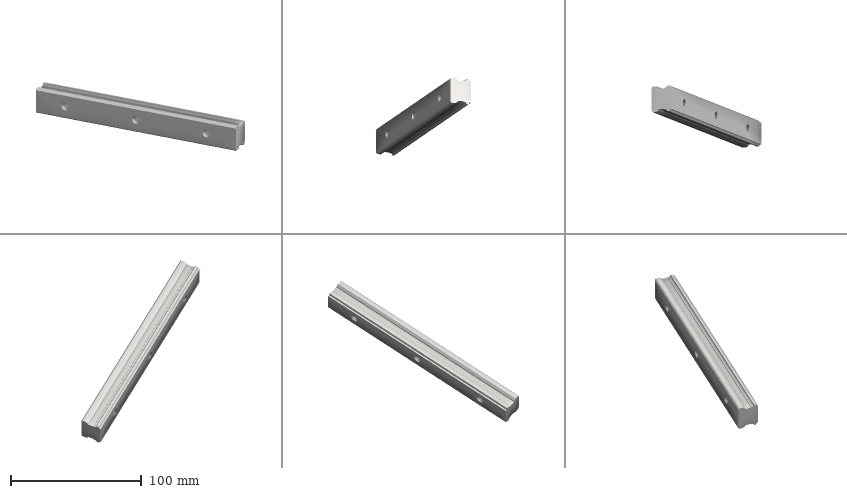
import cadquery as cq

length = 170.0
depth = 16.5
height = 20.0

half_height = height / 2
front_chamfer = 1.0
front_lip_end = 3.9
front_slope_end = 5.8
front_slope_height = 8.7
floor_start = 6.1
floor_height = 8.0
floor_end = 10.5
step_end = 10.9
shoulder_height = 8.5
bead_start = 13.1
bead_end = 14.6
back_land_start = 15.5

fillet_mid_y = 12.4
fillet_mid_z = 8.8

hole_diameter = 6.1
hole_pitch = 60.0
hole_offsets = (-hole_pitch, 0, hole_pitch)


def upper_half():
    """Extruded half of the rail above its horizontal mid-plane."""
    front = -depth / 2
    profile = (
        cq.Workplane("YZ", origin=(-length / 2, front, 0))
        .lineTo(0, half_height - front_chamfer)
        .lineTo(front_chamfer, half_height)
        .lineTo(front_lip_end, half_height)
        .lineTo(front_slope_end, front_slope_height)
        .lineTo(floor_start, floor_height)
        .lineTo(floor_end, floor_height)
        .lineTo(step_end, shoulder_height)
        .threePointArc((fillet_mid_y, fillet_mid_z), (bead_start, half_height))
        .lineTo(bead_end, half_height)
        .lineTo(back_land_start, shoulder_height)
        .lineTo(depth, shoulder_height)
        .lineTo(depth, 0)
        .close()
    )
    return profile.extrude(length)


def mounting_holes():
    """Row of cylinders crossing the whole depth of the rail."""
    return (
        cq.Workplane("XZ")
        .pushPoints([(x, 0) for x in hole_offsets])
        .circle(hole_diameter / 2)
        .extrude(depth, both=True)
    )


top = upper_half()
rail = top.union(top.mirror("XY")).clean()
result = rail.cut(mounting_holes())